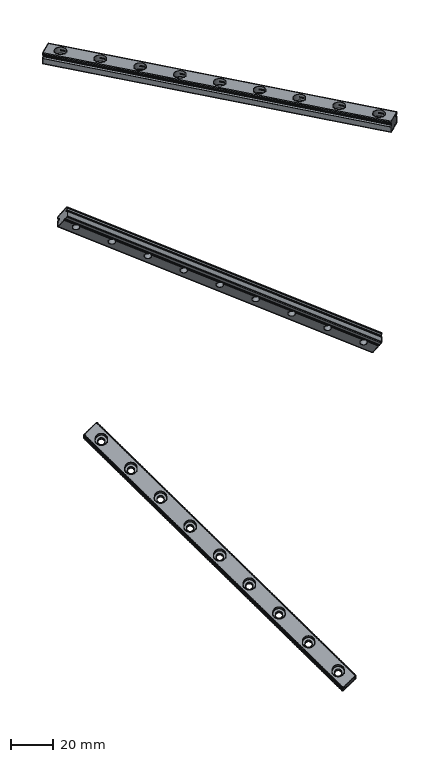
import cadquery as cq

length = 175.0
width = 9.0
height = 6.5
edge_chamfer = 0.4

groove_depth = 0.6
groove_top = height - 1.1
groove_bottom = height - 3.1
groove_middle = (groove_top + groove_bottom) / 2

relief_depth = 1.2
relief_height = 0.6

hole_count = 9
hole_pitch = 20.0
hole_diameter = 3.5
counterbore_diameter = 6.0
counterbore_depth = 3.5

mark_offset = 1.8
mark_width = 0.7
mark_depth = 0.4


def make_body():
    """Extrude the grooved cross-section along X."""
    half_width = width / 2
    groove_floor = half_width - groove_depth
    section = (
        cq.Workplane("YZ")
        .moveTo(0, 0)
        .lineTo(half_width - edge_chamfer, 0)
        .lineTo(half_width, edge_chamfer)
        .lineTo(half_width, groove_bottom)
        .threePointArc((groove_floor, groove_middle), (half_width, groove_top))
        .lineTo(half_width, height - edge_chamfer)
        .lineTo(half_width - edge_chamfer, height)
        .lineTo(0, height)
        .mirrorY()
    )
    return section.extrude(length / 2, both=True)


def cut_relief_slots(body):
    """Cut the square-cornered slot along the middle of both ball grooves."""
    for side in (-1, 1):
        slot = (
            cq.Workplane("XY")
            .box(length, 2 * relief_depth, relief_height)
            .translate((0, side * width / 2, groove_middle))
        )
        body = body.cut(slot)
    return body


def cut_mounting_holes(body):
    """Cut the evenly spaced counterbored holes from the top face."""
    return (
        body.faces(">Z")
        .workplane(origin=(0, 0, height))
        .rarray(hole_pitch, 1, hole_count, 1)
        .cboreHole(hole_diameter, counterbore_diameter, counterbore_depth)
    )


def cut_reference_groove(body):
    """Cut the full-length groove in the underside, on the +Y half."""
    groove = (
        cq.Workplane("XY")
        .center(0, mark_offset)
        .rect(length, mark_width)
        .extrude(mark_depth)
    )
    return body.cut(groove)


result = make_body()
result = cut_relief_slots(result)
result = cut_mounting_holes(result)
result = cut_reference_groove(result)